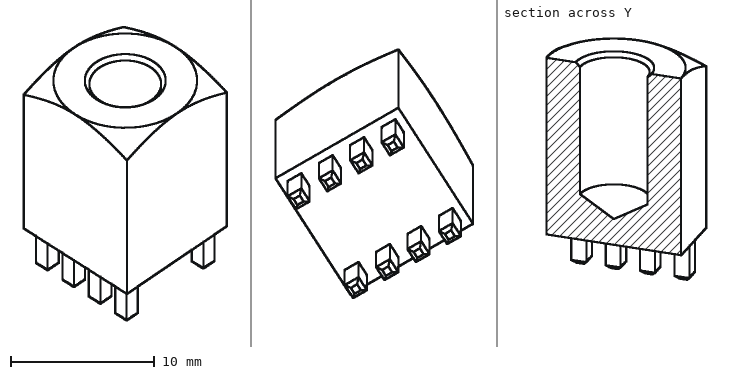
import cadquery as cq
import math

total_height = 17.0
body_width = 10.0
pin_length = 3.5
corner_angle = 30.0

bore_diameter = 5.0
bore_mouth_diameter = 5.63
bore_depth = 10.0
bore_tip_angle = 118.0

pin_width = 1.12
pin_pitch = 2.55
pins_per_row = 4
pin_tip_chamfer = 0.3

body_height = total_height - pin_length
half_width = body_width / 2
row_offset = pin_pitch * (pins_per_row - 1) / 2
row_spacing = 2 * row_offset


def make_body():
    """Square block whose top corners are trimmed by a cone."""
    block = cq.Workplane("XY").box(body_width, body_width, body_height, centered=(True, True, False))
    cone_reach = body_width
    drop = (cone_reach - half_width) * math.tan(math.radians(corner_angle))
    envelope = (
        cq.Workplane("XZ")
        .lineTo(cone_reach, 0)
        .lineTo(cone_reach, body_height - drop)
        .lineTo(half_width, body_height)
        .lineTo(0, body_height)
        .close()
        .revolve(360, (0, 0), (0, 1))
    )
    return block.intersect(envelope)


def make_bore():
    """Blind drilled hole with a 45 degree mouth chamfer and a conical bottom."""
    radius = bore_diameter / 2
    mouth_radius = bore_mouth_diameter / 2
    bottom = body_height - bore_depth
    tip_depth = radius / math.tan(math.radians(bore_tip_angle / 2))
    return (
        cq.Workplane("XZ")
        .moveTo(0, bottom - tip_depth)
        .lineTo(radius, bottom)
        .lineTo(radius, body_height - (mouth_radius - radius))
        .lineTo(mouth_radius, body_height)
        .lineTo(0, body_height)
        .close()
        .revolve(360, (0, 0), (0, 1))
    )


def make_pins():
    """Two rows of square pins with chamfered tips, below the body."""
    return (
        cq.Workplane("XY")
        .rarray(pin_pitch, row_spacing, pins_per_row, 2)
        .rect(pin_width, pin_width)
        .extrude(-pin_length)
        .faces("<Z")
        .chamfer(pin_tip_chamfer)
    )


result = make_body().cut(make_bore()).union(make_pins())
result = result.translate((0, 0, pin_length - total_height / 2))